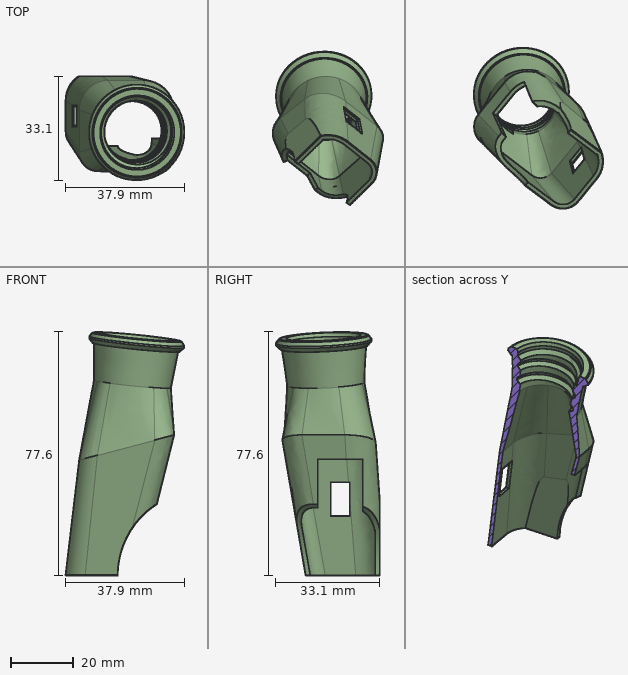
import cadquery as cq
import math

WALL = 1.5
BIG = 200.0

BOTTOM_X = (-0.15, 23.3)
BOTTOM_Y = (-5.8, 19.5)
SHOULDER_X = (4.2, 34.5)
SHOULDER_Z = (36.8, 44.8)
SHOULDER_BACK_Y = 16.6
FRONT_LEAN = 0.172
FRONT_RADIUS = 6.2
BACK_RADII = (10.0, 9.4)
BACK_FLAT_Y = 17.9
BOTTOM_CHAMFER = 0.2

RIM_CENTRE = (22.54, 0.0, 74.35)
AXIS_LEAN_X = math.tan(math.radians(5.8))
AXIS_LEAN_Y = -math.tan(math.radians(2.7))
RIM_RADIUS = 15.25
RIM_TOP_RADIUS = 14.35
RIM_EDGE = 0.4
RIM_UNDER_RADIUS = 13.9
RIM_HALF_HEIGHT = 1.7
RIM_LAND = 0.3
COLLAR_TOP_RADIUS = 13.5
COLLAR_END_RADIUS = 12.35
COLLAR_END = -13.4

MOUTH_RADIUS = 11.9
LEAD_IN_DEPTH = 1.2
MOUTH_END_RADIUS = 11.4
MOUTH_DEPTH = 2.4
MOUTH_FLANK = 1.3
CREST_TOP_RADIUS = 10.1
CREST_END_RADIUS = 9.25
THREAD_PITCH = 5.2
THREAD_START = 258.0
THREAD_DEPTH = 1.3
GROOVE_ROOT = 0.8
GROOVE_MOUTH = 3.5
GROOVE_OVERLAP = 0.3

RELIEF_START_X = 16.5
RELIEF_RADIUS = 27.0
WINDOW_Y = (2.3, 8.2)
WINDOW_Z = (19.0, 29.7)
WINDOW_FLARE = 0.45
OPENING_Y = (-1.9, 12.4)
OPENING_TOP = 37.0

SHOULDER_SLOPE = (SHOULDER_Z[1] - SHOULDER_Z[0]) / (SHOULDER_X[1] - SHOULDER_X[0])
SHOULDER_STRETCH = math.hypot(1.0, SHOULDER_SLOPE)
BOTTOM_PLANE = cq.Plane(origin=(0, 0, 0))
SHOULDER_PLANE = cq.Plane(
    origin=(SHOULDER_X[0], 0, SHOULDER_Z[0]),
    xDir=(1, 0, SHOULDER_SLOPE),
    normal=(-SHOULDER_SLOPE, 0, 1),
)
COLLAR_PLANE = cq.Plane(
    origin=RIM_CENTRE,
    xDir=(1, 0, -AXIS_LEAN_X),
    normal=(AXIS_LEAN_X, AXIS_LEAN_Y, 1),
)


def bottom_corners(inset):
    """Corners of the bottom outline, anticlockwise from (-X, -Y)."""
    left, right = BOTTOM_X[0] + inset, BOTTOM_X[1] - inset
    front, back = BOTTOM_Y[0] + inset, BOTTOM_Y[1] - inset
    return [(left, front), (right, front), (right, back), (left, back)]


def shoulder_corners(inset):
    """Corners of the shoulder outline, in the sloping shoulder plane."""
    left = inset
    right = (SHOULDER_X[1] - SHOULDER_X[0]) * SHOULDER_STRETCH - inset
    front_left, front_right = (BOTTOM_Y[0] - FRONT_LEAN * z + inset for z in SHOULDER_Z)
    back = SHOULDER_BACK_Y - inset
    return [(left, front_left), (right, front_right), (right, back), (left, back)]


def corner_arcs(corners, inset):
    """Start, middle and end of the rounding arc at each corner."""
    radii = [r - inset for r in (FRONT_RADIUS, FRONT_RADIUS, *BACK_RADII)]
    arcs = []
    for i, radius in enumerate(radii):
        corner = cq.Vector(*corners[i])
        before = (cq.Vector(*corners[i - 1]) - corner).normalized()
        after = (cq.Vector(*corners[(i + 1) % len(corners)]) - corner).normalized()
        half_angle = before.getAngle(after) / 2
        setback = radius / math.tan(half_angle)
        inward = (before + after).normalized()
        middle = corner + inward * (radius / math.sin(half_angle) - radius)
        arcs.append((corner + before * setback, middle, corner + after * setback))
    return arcs


def outline(plane, arcs):
    """Closed wire of corner arcs joined by straight sides."""
    edges = []
    for i, arc in enumerate(arcs):
        start, middle, end = (plane.toWorldCoords(p) for p in arc)
        next_start = plane.toWorldCoords(arcs[(i + 1) % len(arcs)][0])
        edges.append(cq.Edge.makeThreePointArc(start, middle, end))
        edges.append(cq.Edge.makeLine(end, next_start))
    return cq.Wire.assembleEdges(edges)


def neck_circle(arcs, radius):
    """Circle at the collar end, divided at the same bearings as the shoulder outline."""
    ends = [p for arc in arcs for p in (arc[0], arc[2])]
    centre_x = sum(p.x for p in ends) / len(ends)
    centre_y = sum(p.y for p in ends) / len(ends)
    bearings = [math.atan2(p.y - centre_y, p.x - centre_x) for p in ends]

    def on_circle(angle):
        local = (radius * math.cos(angle), radius * math.sin(angle), COLLAR_END)
        return COLLAR_PLANE.toWorldCoords(local)

    edges = []
    for i, angle in enumerate(bearings):
        sweep = (bearings[(i + 1) % len(bearings)] - angle) % math.tau
        points = [on_circle(angle + sweep * part) for part in (0, 0.5, 1)]
        edges.append(cq.Edge.makeThreePointArc(*points))
    return cq.Wire.assembleEdges(edges)


def body_and_neck(inset, neck_radius, back_limit):
    """Lower body and neck, inset evenly from the outer skin."""
    shoulder_arcs = corner_arcs(shoulder_corners(inset), inset)
    bottom = outline(BOTTOM_PLANE, corner_arcs(bottom_corners(inset), inset))
    shoulder = outline(SHOULDER_PLANE, shoulder_arcs)
    circle = neck_circle(shoulder_arcs, neck_radius)
    body = cq.Workplane(cq.Solid.makeLoft([bottom, shoulder], True))
    neck = cq.Workplane(cq.Solid.makeLoft([shoulder, circle], True))
    keep = cq.Workplane().box(BIG, BIG, BIG).translate((0, back_limit - BIG / 2, 0))
    return body.intersect(keep).union(neck)


def turned(profile):
    """Solid of revolution about Z from (radius, height) points."""
    return cq.Workplane("XZ").polyline(profile).close().revolve(360, (0, 0, 0), (0, 1, 0))


def on_collar_axis(shape):
    """Move a shape built about Z onto the leaning collar axis."""
    return cq.Workplane(shape.val().moved(cq.Location(COLLAR_PLANE)))


def collar():
    """Solid tapered collar with its bevelled rim."""
    return turned([
        (0, RIM_HALF_HEIGHT),
        (RIM_TOP_RADIUS - RIM_EDGE, RIM_HALF_HEIGHT),
        (RIM_TOP_RADIUS, RIM_HALF_HEIGHT - RIM_EDGE / 2),
        (RIM_RADIUS, RIM_LAND),
        (RIM_RADIUS, -RIM_LAND),
        (RIM_UNDER_RADIUS, -RIM_HALF_HEIGHT),
        (COLLAR_TOP_RADIUS, -RIM_HALF_HEIGHT),
        (COLLAR_END_RADIUS, COLLAR_END),
        (0, COLLAR_END),
    ])


def bore():
    """Bore at the thread crests, with the wider mouth and its lead-in."""
    mouth_bottom = RIM_HALF_HEIGHT - MOUTH_DEPTH
    return turned([
        (0, RIM_HALF_HEIGHT),
        (MOUTH_RADIUS, RIM_HALF_HEIGHT),
        (MOUTH_END_RADIUS, RIM_HALF_HEIGHT - LEAD_IN_DEPTH),
        (MOUTH_END_RADIUS, mouth_bottom),
        (CREST_TOP_RADIUS, mouth_bottom - MOUTH_FLANK),
        (CREST_END_RADIUS, COLLAR_END),
        (0, COLLAR_END),
    ])


def thread_groove():
    """Helical groove cut between the crests, tapering with the bore."""
    height = RIM_HALF_HEIGHT - COLLAR_END
    taper = math.degrees(math.atan2(CREST_TOP_RADIUS - CREST_END_RADIUS, height))
    path = cq.Wire.makeHelix(THREAD_PITCH, height, CREST_END_RADIUS, angle=taper)
    inner = CREST_END_RADIUS - GROOVE_OVERLAP
    outer = CREST_END_RADIUS + THREAD_DEPTH
    groove = (
        cq.Workplane("XZ")
        .polyline([
            (inner, -GROOVE_MOUTH / 2),
            (outer, -GROOVE_ROOT / 2),
            (outer, GROOVE_ROOT / 2),
            (inner, GROOVE_MOUTH / 2),
        ])
        .close()
        .sweep(cq.Workplane(path), isFrenet=True)
    )
    return groove.translate((0, 0, COLLAR_END))


def threaded_bore():
    """Bore and groove together, turned so the groove starts at its bearing."""
    return bore().union(thread_groove()).rotate((0, 0, 0), (0, 0, 1), THREAD_START)


def relief():
    """Arc that hollows the lower +X side of the body."""
    return (
        cq.Workplane("XZ")
        .center(RELIEF_START_X + RELIEF_RADIUS, 0)
        .circle(RELIEF_RADIUS)
        .extrude(BIG / 2, both=True)
    )


def rectangle_at(x, y_range, z_range):
    """Upright rectangle facing +X."""
    width = y_range[1] - y_range[0]
    height = z_range[1] - z_range[0]
    centre = (x, sum(y_range) / 2, sum(z_range) / 2)
    plane = cq.Plane(origin=centre, xDir=(0, 1, 0), normal=(1, 0, 0))
    return cq.Workplane(plane).rect(width, height)


def window():
    """Rectangular hole with a bevelled outer edge that follows the leaning wall."""
    lean = (SHOULDER_X[0] - BOTTOM_X[0]) / SHOULDER_Z[0]

    def frame(depth, margin):
        y0, y1 = WINDOW_Y[0] - margin, WINDOW_Y[1] + margin
        z0, z1 = WINDOW_Z[0] - margin, WINDOW_Z[1] + margin
        corners = [(y0, z0), (y1, z0), (y1, z1), (y0, z1)]
        points = [cq.Vector(BOTTOM_X[0] + lean * z + depth, y, z) for y, z in corners]
        return cq.Wire.makePolygon(points, close=True)

    flare = cq.Solid.makeLoft([frame(-WINDOW_FLARE, 2 * WINDOW_FLARE), frame(WINDOW_FLARE, 0)], True)
    through = rectangle_at(BOTTOM_X[0], WINDOW_Y, WINDOW_Z).extrude(RELIEF_START_X / 2)
    return through.union(flare)


def opening():
    """Hole in the +X wall that runs down into the relief arc."""
    middle = sum(BOTTOM_X) / 2
    return rectangle_at(middle, OPENING_Y, (0, OPENING_TOP)).extrude(BIG)


outer = body_and_neck(0, COLLAR_END_RADIUS, BACK_FLAT_Y)
cavity = body_and_neck(WALL, CREST_END_RADIUS, BACK_FLAT_Y - WALL)
outer = outer.faces("<Z").chamfer(BOTTOM_CHAMFER).union(on_collar_axis(collar()))
result = outer.cut(cavity).cut(on_collar_axis(threaded_bore()))
result = result.cut(relief()).cut(opening()).cut(window())
result = cq.Workplane(result.solids().val())